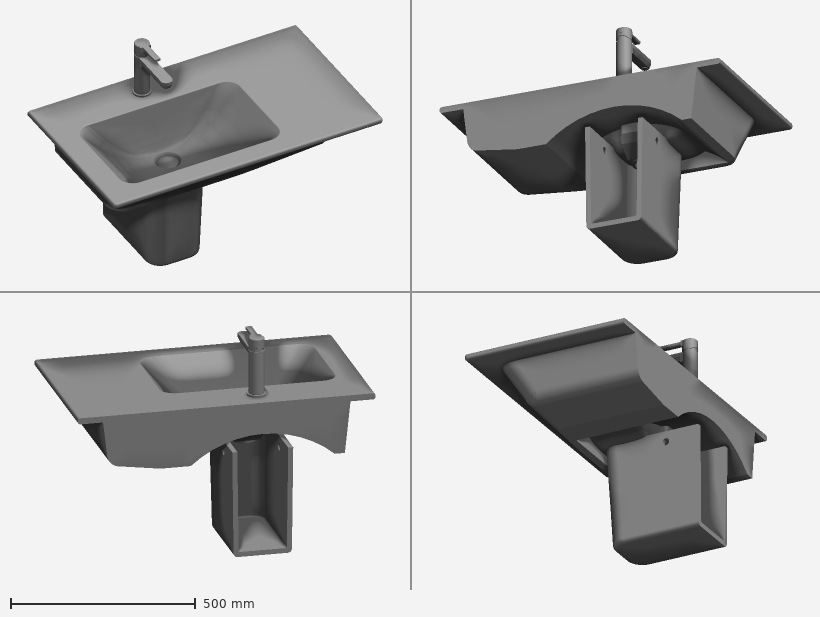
import cadquery as cq
import math


DECK_DEPTH = 489.5
DECK_WIDTH = 830.0
DECK_THICK = 17.5
DECK_CORNER_R = 10.0
DECK_EDGE_R = 7.0
BASIN_BOTTOM_Z = -164.0
SKIRT_HALF_WIDTH = 345.0
SKIRT_BOTTOM_RIGHT_Y = -329.5
SKIRT_BOTTOM_LEFT_Y = 184.0
SKIRT_BEND_TOP = (333.5, -114.0)
SKIRT_BEND_MID = (325.0, -134.5)
SKIRT_BEND_END = (304.5, -147.0)
SKIRT_FRONT_TOP = 427.0
SKIRT_FRONT_BOTTOM = 333.5
SKIRT_CORNER_R = 50.0
EDGE_MARGIN = 1.0

DRAIN_X = 213.0
AXIS_Y = -100.0
BOWL_WALL = 12.5
BOWL_CORNER_R = 41.5
BOWL_RIM_R = 3.0
RIM_BACK = 133.0
RIM_FRONT = 430.0
RIM_HALF_WIDTH = 245.0
DRAIN_Z = -137.0
DRAIN_RIM_R = 37.0
DRAIN_BORE_R = 30.0
DRAIN_CORNER_ANGLE = 40
BOWL_PROFILE = [(0, 0), (0.17, -37.0), (0.55, -105.0), (1, DRAIN_Z)]

ARCH_TOP_Z = -90.0
ARCH_R = 307.0
HOLLOW_FRONT = 311.0
CHANNEL_BACK = 120.0
CHANNEL_EDGE_R = 11.0
CHANNEL_TOP_Z = -66.0
CHANNEL_BEND_Z = -116.0
CHANNEL_LIP = (137.0, -138.5)
CHANNEL_FOOT_Z = -170.0
DRAIN_BOTTOM_Z = -177.0

COVER_TOP_Z = -135.0
COVER_BOTTOM_Z = -437.0
COVER_TOP_WIDTH = 170.0
COVER_BOTTOM_WIDTH = 163.0
COVER_TOP_DEPTH = 299.5
COVER_BOTTOM_DEPTH = 280.5
COVER_WALL = 14.0
COVER_CORNER_R = 48.0
COVER_INNER_CORNER_R = 37.0
COVER_BOTTOM_R = 12.0
COVER_FLOOR_R = 5.0
COVER_HOLE_X = 99.0
COVER_HOLE_Z = -167.0
COVER_HOLE_D = 21.0

TAP_X = 69.0
TAP_R = 21.5
TAP_TOP_Z = 165.0
TAP_FLANGE_R = 26.1
TAP_FLANGE_H = 5.4
COLUMN_TOP_Z = 129.0
NECK_R = 20.0
HANDLE_BOTTOM_Z = 134.0
HANDLE_TOP_R = 3.0
HANDLE_BEVEL_LENGTH = 10.0
HANDLE_BEVEL_HEIGHT = 7.5
LEVER_END = 158.0
LEVER_WIDTH = 17.5
LEVER_THICK = 9.0
LEVER_BEVEL = 2.5
LEVER_ROOT_WIDTH = 31.5
LEVER_ROOT_Z = 148.5
SPOUT_END = 222.0
SPOUT_WIDTH = 34.0
SPOUT_BOTTOM_Z = 106.0
SPOUT_CORNER_R = 15.0
SPOUT_BEVEL_HEIGHT = 12.0
SPOUT_BEVEL_INSET = 5.0
SPOUT_ROOT_Z = 100.0
AERATOR_X = 205.0
AERATOR_R = 9.0
AERATOR_H = 3.0
SCREW_Z = 148.0
SCREW_D = 5.0
SCREW_DEPTH = 4.0

PLUG_EDGE_Z = -143.5
PLUG_DOME_RISE = 9.0
PLUG_BOTTOM_Z = -158.0


def box(x0, x1, y0, y1, z0, z1):
    return cq.Workplane("XY").box(x1 - x0, y1 - y0, z1 - z0, centered=False).translate((x0, y0, z0))


def post(x, radius, z0, z1):
    return cq.Workplane("XY", origin=(x, AXIS_Y, z0)).circle(radius).extrude(z1 - z0)


def deck():
    half = DECK_WIDTH / 2
    slab = box(0, DECK_DEPTH, -half, half, -DECK_THICK, 0)
    slab = slab.edges("|Z and >X").fillet(DECK_CORNER_R)
    return slab.faces("<Z or >Z").edges("not <X").fillet(DECK_EDGE_R)


def skirt():
    across = (
        cq.Workplane("YZ")
        .moveTo(-SKIRT_HALF_WIDTH, -DECK_THICK)
        .lineTo(SKIRT_HALF_WIDTH, -DECK_THICK)
        .lineTo(*SKIRT_BEND_TOP)
        .threePointArc(SKIRT_BEND_MID, SKIRT_BEND_END)
        .lineTo(SKIRT_BOTTOM_LEFT_Y, BASIN_BOTTOM_Z)
        .lineTo(SKIRT_BOTTOM_RIGHT_Y, BASIN_BOTTOM_Z)
        .close()
        .extrude(DECK_DEPTH)
    )
    along = (
        cq.Workplane("XZ")
        .polyline([
            (0, -DECK_THICK),
            (SKIRT_FRONT_TOP, -DECK_THICK),
            (SKIRT_FRONT_BOTTOM, BASIN_BOTTOM_Z),
            (0, BASIN_BOTTOM_Z),
        ])
        .close()
        .extrude(DECK_WIDTH / 2, both=True)
    )
    block = across.intersect(along)
    corners = [
        edge
        for edge in block.faces(">X").edges().vals()
        if BASIN_BOTTOM_Z < edge.Center().z - EDGE_MARGIN and edge.Center().z + EDGE_MARGIN < -DECK_THICK
    ]
    return block.newObject(corners).fillet(SKIRT_CORNER_R)


def rounded_rectangle(back, front, half_width, corner_r):
    """Sixteen points counted round the outline: tangent point, middle and tangent point of each
    corner arc, each followed by the middle of the next side."""
    middle = (back + front) / 2
    half_depth = (front - back) / 2
    inset = corner_r * (1 - math.sqrt(0.5))
    quarter = [
        (half_depth, half_width - corner_r),
        (half_depth - inset, half_width - inset),
        (half_depth - corner_r, half_width),
    ]
    mirrored = [(-x, y) for x, y in reversed(quarter)]
    front_to_back = quarter + [(0, half_width)] + mirrored + [(-half_depth, 0)]
    back_to_front = [(-x, -y) for x, y in front_to_back]
    return [(middle + x, AXIS_Y + y) for x, y in front_to_back + back_to_front]


def drain_circle(radius):
    """The matching sixteen points on the drain rim."""
    corner = [DRAIN_CORNER_ANGLE, 45, 90 - DRAIN_CORNER_ANGLE]
    half_turn = corner + [90] + [180 - angle for angle in reversed(corner)] + [180]
    angles = [math.radians(angle) for angle in half_turn + [180 + angle for angle in half_turn]]
    return [(DRAIN_X + radius * math.cos(angle), AXIS_Y + radius * math.sin(angle)) for angle in angles]


def bowl_section(wall, inward, z):
    """Outline that lies the fraction `inward` of the way from the bowl rim to the drain."""
    rim = rounded_rectangle(
        RIM_BACK - wall, RIM_FRONT + wall, RIM_HALF_WIDTH + wall, BOWL_CORNER_R + wall
    )
    drain = drain_circle(DRAIN_RIM_R + wall)
    points = [
        (xr + inward * (xd - xr), yr + inward * (yd - yr)) for (xr, yr), (xd, yd) in zip(rim, drain)
    ]
    outline = cq.Workplane("XY", origin=(0, 0, z - wall)).moveTo(*points[0])
    for i in range(1, len(points), 2):
        end = points[(i + 1) % len(points)]
        if inward == 0 and i % 4 == 3:
            outline = outline.lineTo(*end)
        else:
            outline = outline.threePointArc(points[i], end)
    return outline.wire().val()


def bowl(wall):
    """Bowl shape from the deck to the drain, grown outwards and downwards by `wall`."""
    sections = [bowl_section(wall, inward, z) for inward, z in BOWL_PROFILE]
    return cq.Workplane(cq.Solid.makeLoft(sections, False))


def hollow():
    """Arched space open to the wall, left free around the underside of the bowl."""
    arch = (
        cq.Workplane("YZ", origin=(0, AXIS_Y, ARCH_TOP_Z - ARCH_R)).circle(ARCH_R).extrude(HOLLOW_FRONT)
    )
    return arch.cut(bowl(BOWL_WALL))


def drain_boss():
    """Overflow channel behind the drain, running into the round drain outlet."""
    channel = (
        cq.Workplane("XZ", origin=(0, AXIS_Y, 0))
        .polyline([
            (CHANNEL_BACK, CHANNEL_TOP_Z),
            (CHANNEL_BACK, CHANNEL_BEND_Z),
            CHANNEL_LIP,
            (DRAIN_X - DRAIN_RIM_R, CHANNEL_FOOT_Z),
            (DRAIN_X, CHANNEL_FOOT_Z),
            (DRAIN_X, CHANNEL_TOP_Z),
        ])
        .close()
        .extrude(DRAIN_RIM_R, both=True)
        .edges("|Z and <X")
        .fillet(CHANNEL_EDGE_R)
    )
    return channel.union(post(DRAIN_X, DRAIN_RIM_R, DRAIN_BOTTOM_Z, CHANNEL_TOP_Z))


def drain_bore():
    """Bore through the drain with a conical rim."""
    rim_depth = DRAIN_RIM_R - DRAIN_BORE_R
    rim = cq.Solid.makeCone(
        DRAIN_BORE_R, DRAIN_RIM_R, rim_depth, pnt=cq.Vector(DRAIN_X, AXIS_Y, DRAIN_Z - rim_depth)
    )
    return post(DRAIN_X, DRAIN_BORE_R, DRAIN_BOTTOM_Z, DRAIN_Z).union(cq.Workplane(rim))


def make_basin():
    body = deck().union(skirt()).cut(hollow()).union(drain_boss())
    body = body.cut(bowl(0)).cut(drain_bore())
    rim_zone = cq.selectors.BoxSelector(
        (RIM_BACK - BOWL_WALL, AXIS_Y - RIM_HALF_WIDTH - BOWL_WALL, -EDGE_MARGIN),
        (RIM_FRONT + BOWL_WALL, AXIS_Y + RIM_HALF_WIDTH + BOWL_WALL, EDGE_MARGIN),
    )
    return body.edges(rim_zone).fillet(BOWL_RIM_R)


def cover_section(depth, width, corner_r, z):
    """Outline with a straight open back at X = 0 and two rounded front corners."""
    half = width / 2
    diagonal = corner_r * (1 - math.sqrt(0.5))
    return (
        cq.Workplane("XY", origin=(0, AXIS_Y, z))
        .moveTo(0, -half)
        .lineTo(depth - corner_r, -half)
        .threePointArc((depth - diagonal, diagonal - half), (depth, corner_r - half))
        .lineTo(depth, half - corner_r)
        .threePointArc((depth - diagonal, half - diagonal), (depth - corner_r, half))
        .lineTo(0, half)
        .close()
        .val()
    )


def cover_shape(wall, corner_r, bottom_z):
    sections = [
        cover_section(COVER_BOTTOM_DEPTH - wall, COVER_BOTTOM_WIDTH - 2 * wall, corner_r, bottom_z),
        cover_section(COVER_TOP_DEPTH - wall, COVER_TOP_WIDTH - 2 * wall, corner_r, COVER_TOP_Z),
    ]
    return cq.Workplane(cq.Solid.makeLoft(sections, True))


def make_cover(basin):
    outside = cover_shape(0, COVER_CORNER_R, COVER_BOTTOM_Z)
    outside = outside.faces("<Z").edges("not <X").fillet(COVER_BOTTOM_R)
    inside = cover_shape(COVER_WALL, COVER_INNER_CORNER_R, COVER_BOTTOM_Z + COVER_WALL)
    inside = inside.faces("<Z").edges("not <X").fillet(COVER_FLOOR_R)
    holes = (
        cq.Workplane("XZ", origin=(COVER_HOLE_X, AXIS_Y, COVER_HOLE_Z))
        .circle(COVER_HOLE_D / 2)
        .extrude(COVER_TOP_WIDTH, both=True)
    )
    return outside.cut(inside).cut(holes).cut(basin)


def spout():
    half = SPOUT_WIDTH / 2
    bar = box(TAP_X, SPOUT_END, AXIS_Y - half, AXIS_Y + half, SPOUT_BOTTOM_Z, COLUMN_TOP_Z)
    bar = bar.edges("|Z and >X").fillet(SPOUT_CORNER_R)
    bar = bar.faces("<Z").edges("not <X").chamfer(SPOUT_BEVEL_HEIGHT, SPOUT_BEVEL_INSET)
    root = box(TAP_X, TAP_X + TAP_R, AXIS_Y - half, AXIS_Y + half, SPOUT_ROOT_Z, COLUMN_TOP_Z)
    aerator = post(AERATOR_X, AERATOR_R, SPOUT_BOTTOM_Z - AERATOR_H, SPOUT_BOTTOM_Z)
    return bar.union(root).union(aerator)


def handle():
    cap = post(TAP_X, TAP_R, HANDLE_BOTTOM_Z, TAP_TOP_Z).faces(">Z").edges().fillet(HANDLE_TOP_R)
    back = TAP_X - TAP_R
    rear_bevel = (
        cq.Workplane("XZ", origin=(back, AXIS_Y, HANDLE_BOTTOM_Z))
        .polyline([(0, 0), (HANDLE_BEVEL_LENGTH, 0), (0, HANDLE_BEVEL_HEIGHT)])
        .close()
        .extrude(TAP_R, both=True)
    )
    screw_hole = (
        cq.Workplane("YZ", origin=(back, AXIS_Y, SCREW_Z)).circle(SCREW_D / 2).extrude(SCREW_DEPTH)
    )
    half = LEVER_WIDTH / 2
    lever = box(TAP_X, LEVER_END, AXIS_Y - half, AXIS_Y + half, TAP_TOP_Z - LEVER_THICK, TAP_TOP_Z)
    lever = lever.faces("<Z").edges("not <X").chamfer(LEVER_BEVEL)
    root_half = LEVER_ROOT_WIDTH / 2
    root = box(TAP_X, TAP_X + TAP_R, AXIS_Y - root_half, AXIS_Y + root_half, LEVER_ROOT_Z, TAP_TOP_Z)
    return cap.cut(rear_bevel).cut(screw_hole).union(root).union(lever)


def make_tap():
    flange = post(TAP_X, TAP_FLANGE_R, 0, TAP_FLANGE_H)
    column = post(TAP_X, TAP_R, 0, COLUMN_TOP_Z)
    neck = post(TAP_X, NECK_R, COLUMN_TOP_Z, HANDLE_BOTTOM_Z + HANDLE_BEVEL_HEIGHT)
    return flange.union(column).union(neck).union(spout()).union(handle())


def make_plug():
    """Plug that fills the drain bore, with a spherical dome on top."""
    dome_r = (DRAIN_BORE_R**2 + PLUG_DOME_RISE**2) / (2 * PLUG_DOME_RISE)
    dome_top = PLUG_EDGE_Z + PLUG_DOME_RISE
    mid_x = DRAIN_BORE_R / 2
    mid_z = dome_top - dome_r + math.sqrt(dome_r**2 - mid_x**2)
    return (
        cq.Workplane("XZ", origin=(DRAIN_X, AXIS_Y, 0))
        .moveTo(0, PLUG_BOTTOM_Z)
        .lineTo(DRAIN_BORE_R, PLUG_BOTTOM_Z)
        .lineTo(DRAIN_BORE_R, PLUG_EDGE_Z)
        .threePointArc((mid_x, mid_z), (0, dome_top))
        .close()
        .revolve(360, (0, 0, 0), (0, 1, 0))
    )


basin = make_basin()
cover = make_cover(basin)
tap = make_tap()
plug = make_plug()

bodies = [basin, cover, tap, plug]
result = cq.Compound.makeCompound([body.solids().val() for body in bodies])